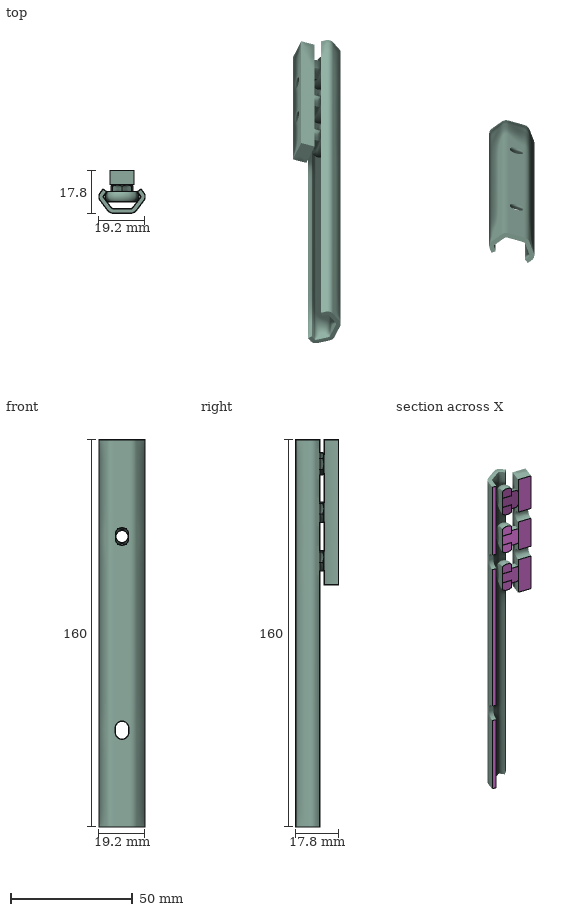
import cadquery as cq
import math

RAIL_LENGTH = 160.0
RAIL_WIDTH = 19.2
RAIL_HEIGHT = 10.0
WALL = 2.0
WEB_BEND_RADIUS = 3.2
LIP_BEND_RADIUS = 2.5
FLANK_ANGLE = 53.0
GROOVE_HEIGHT = 6.9

SLOT_WIDTH = 5.5
SLOT_LENGTH = 7.4
SLOT_END_DISTANCE = 40.0

BAR_WIDTH = 10.0
BAR_LENGTH = 60.0
BAR_THICKNESS = 6.0
BAR_BACK = 17.8
BAR_FRONT = BAR_BACK - BAR_THICKNESS
BAR_HOLE_DIAMETER = 5.0

STATION_PITCH = 20.0
BAR_MIDDLE = RAIL_LENGTH - BAR_LENGTH / 2
STATIONS = [BAR_MIDDLE + i * STATION_PITCH for i in (1, 0, -1)]
FLAT_SIDEWAYS = 30.0
HEX_TURNS = [0.0, -22.0, -22.0]
ROLLER_DIAMETER = 14.0
ROLLER_WIDTH = 4.3
CROWN_RADIUS = 2.9
ROLLER_BACK = GROOVE_HEIGHT + ROLLER_WIDTH / 2
PIN_DIAMETER = 4.5
HEX_ACROSS_FLATS = 8.0
HEX_CHAMFER_DIAMETER = 7.5
HEX_CHAMFER_ANGLE = 35.0


def y_axis_plane(y, z):
    """Plane at height z whose normal is +Y, with local x along -X."""
    return cq.Plane(origin=(0, y, z), xDir=(-1, 0, 0), normal=(0, 1, 0))


def bend_point(centre, radius, angle):
    """Point on a bend whose outward normal is turned by angle from -Y towards +X."""
    turn = math.radians(angle)
    return (centre[0] + radius * math.sin(turn), centre[1] - radius * math.cos(turn))


def mirrored(point):
    return (-point[0], point[1])


def make_rail():
    """Constant section drawn around both skins of the strip, then slotted."""
    flank = math.radians(FLANK_ANGLE)
    lip_angle = 180 - FLANK_ANGLE
    upper = (RAIL_WIDTH / 2 - LIP_BEND_RADIUS, GROOVE_HEIGHT)
    rise = upper[1] - WEB_BEND_RADIUS
    radius_step = LIP_BEND_RADIUS - WEB_BEND_RADIUS
    lower_x = upper[0] - (rise * math.cos(flank) - radius_step) / math.sin(flank)
    lower = (lower_x, WEB_BEND_RADIUS)
    lip_start_height = bend_point(upper, LIP_BEND_RADIUS, lip_angle)[1]
    lip_length = (RAIL_HEIGHT - lip_start_height) / math.sin(flank)

    def half_skin(depth):
        """Corners of the right half, at a depth below the outer skin, from the web up to the lip tip."""
        web_radius = WEB_BEND_RADIUS - depth
        lip_radius = LIP_BEND_RADIUS - depth
        lip_start = bend_point(upper, lip_radius, lip_angle)
        lip_tip = (
            lip_start[0] - lip_length * math.cos(flank),
            lip_start[1] + lip_length * math.sin(flank),
        )
        return [
            bend_point(lower, web_radius, 0),
            bend_point(lower, web_radius, FLANK_ANGLE / 2),
            bend_point(lower, web_radius, FLANK_ANGLE),
            bend_point(upper, lip_radius, FLANK_ANGLE),
            bend_point(upper, lip_radius, 90),
            lip_start,
            lip_tip,
        ]

    def climb(sketch, skin):
        """Draw a skin from the web up to the lip tip."""
        _, web_bend, flank_start, flank_end, lip_bend, lip_start, lip_tip = skin
        sketch = sketch.threePointArc(web_bend, flank_start).lineTo(*flank_end)
        return sketch.threePointArc(lip_bend, lip_start).lineTo(*lip_tip)

    def descend(sketch, skin):
        """Draw a skin from the lip tip down to the web."""
        web_end, web_bend, flank_start, flank_end, lip_bend, lip_start, lip_tip = skin
        sketch = sketch.lineTo(*lip_tip).lineTo(*lip_start).threePointArc(lip_bend, flank_end)
        return sketch.lineTo(*flank_start).threePointArc(web_bend, web_end)

    outer = half_skin(0)
    inner = half_skin(WALL)
    outer_left = [mirrored(point) for point in outer]
    inner_left = [mirrored(point) for point in inner]

    section = cq.Workplane("XY").moveTo(*outer_left[0]).lineTo(*outer[0])
    section = climb(section, outer)
    section = descend(section, inner).lineTo(*inner_left[0])
    section = climb(section, inner_left)
    section = descend(section, outer_left).close()
    rail = section.extrude(RAIL_LENGTH)

    for z in (SLOT_END_DISTANCE, RAIL_LENGTH - SLOT_END_DISTANCE):
        slot = cq.Workplane(y_axis_plane(0, z)).slot2D(SLOT_LENGTH, SLOT_WIDTH, 90).extrude(WALL)
        rail = rail.cut(slot)
    return rail


def make_bar():
    """Rectangular bar with a hole midway between each two neighbouring rollers."""
    bar_plane = y_axis_plane(BAR_FRONT, BAR_MIDDLE)
    bar = cq.Workplane(bar_plane).rect(BAR_WIDTH, BAR_LENGTH).extrude(BAR_THICKNESS)
    for side in (-1, 1):
        hole_plane = y_axis_plane(BAR_FRONT, BAR_MIDDLE + side * STATION_PITCH / 2)
        hole = cq.Workplane(hole_plane).circle(BAR_HOLE_DIAMETER / 2).extrude(BAR_THICKNESS)
        bar = bar.cut(hole)
    return bar


def make_roller(z):
    """Crowned ring, bored for its pin and centred on the rail's groove."""
    bore_radius = PIN_DIAMETER / 2
    rim_radius = ROLLER_DIAMETER / 2
    half_width = ROLLER_WIDTH / 2
    edge_radius = rim_radius - CROWN_RADIUS + math.sqrt(CROWN_RADIUS**2 - half_width**2)
    return (
        cq.Workplane("XY")
        .moveTo(bore_radius, -half_width)
        .lineTo(edge_radius, -half_width)
        .threePointArc((rim_radius, 0), (edge_radius, half_width))
        .lineTo(bore_radius, half_width)
        .close()
        .revolve(360, (0, 0, 0), (0, 1, 0))
        .translate((0, GROOVE_HEIGHT, z))
    )


def make_stud(z, turn):
    """Hexagonal spacer, chamfered where it meets the bar, with a pin through the roller."""
    height = BAR_FRONT - ROLLER_BACK
    corner_radius = HEX_ACROSS_FLATS / math.sqrt(3)
    chamfer_radius = HEX_CHAMFER_DIAMETER / 2
    drop = (corner_radius - chamfer_radius) * math.tan(math.radians(HEX_CHAMFER_ANGLE))
    hexagon = (
        cq.Workplane(y_axis_plane(ROLLER_BACK, z))
        .transformed(rotate=(0, 0, FLAT_SIDEWAYS + turn))
        .polygon(6, 2 * corner_radius)
        .extrude(height)
    )
    envelope = (
        cq.Workplane("XY")
        .moveTo(0, 0)
        .lineTo(corner_radius, 0)
        .lineTo(corner_radius, height - drop)
        .lineTo(chamfer_radius, height)
        .lineTo(0, height)
        .close()
        .revolve(360, (0, 0, 0), (0, 1, 0))
        .translate((0, ROLLER_BACK, z))
    )
    pin = cq.Workplane(y_axis_plane(ROLLER_BACK, z)).circle(PIN_DIAMETER / 2).extrude(-ROLLER_WIDTH)
    return hexagon.intersect(envelope).union(pin)


rail = make_rail()
bar = make_bar()
rollers = [make_roller(z) for z in STATIONS]
studs = [make_stud(z, turn) for z, turn in zip(STATIONS, HEX_TURNS)]

result = cq.Compound.makeCompound(
    [rail.val(), bar.val()] + [roller.val() for roller in rollers] + [stud.val() for stud in studs]
)